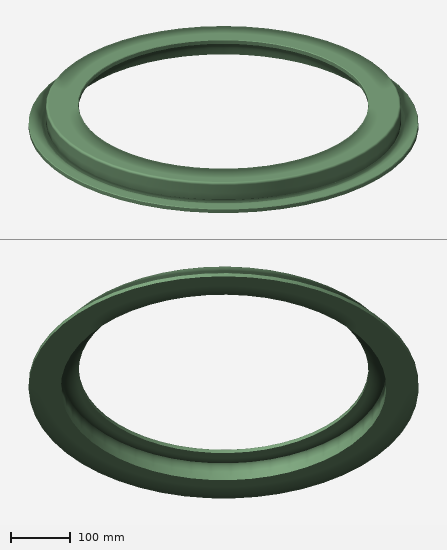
import cadquery as cq

flange_radius = 327.0
flange_thickness = 7.5
flange_edge_chamfer = 1.0
base_inner_radius = 273.0

recess_depth = 1.0
recess_floor_radius = 300.8
recess_rim_radius = 305.2

cap_top = 42.0
cap_thickness = 7.5
cap_outer_radius = 298.0
cap_edge_fillet = 4.0
lip_inner_radius = 243.0
lip_edge_chamfer = 1.0
skirt_bottom = 10.5

lip_underside = cap_top - cap_thickness
skirt_inner_radius = cap_outer_radius - cap_thickness


def revolve_about_z(profile):
    return profile.close().revolve(360, (0, 0, 0), (0, 1, 0))


def make_base():
    recess_floor = flange_thickness - recess_depth
    profile = (
        cq.Workplane("XZ")
        .moveTo(base_inner_radius, 0)
        .lineTo(flange_radius, 0)
        .lineTo(flange_radius, flange_thickness - flange_edge_chamfer)
        .lineTo(flange_radius - flange_edge_chamfer, flange_thickness)
        .lineTo(recess_rim_radius, flange_thickness)
        .lineTo(recess_floor_radius, recess_floor)
        .lineTo(skirt_inner_radius, recess_floor)
        .lineTo(skirt_inner_radius, lip_underside)
        .lineTo(base_inner_radius, lip_underside)
    )
    return revolve_about_z(profile)


def make_cap():
    profile = (
        cq.Workplane("XZ")
        .moveTo(skirt_inner_radius, skirt_bottom)
        .lineTo(cap_outer_radius, skirt_bottom)
        .lineTo(cap_outer_radius, cap_top - cap_edge_fillet)
        .radiusArc((cap_outer_radius - cap_edge_fillet, cap_top), -cap_edge_fillet)
        .lineTo(lip_inner_radius + lip_edge_chamfer, cap_top)
        .lineTo(lip_inner_radius, cap_top - lip_edge_chamfer)
        .lineTo(lip_inner_radius, lip_underside)
        .lineTo(skirt_inner_radius, lip_underside)
    )
    return revolve_about_z(profile)


base = make_base()
cap = make_cap()
result = cq.Compound.makeCompound([base.val(), cap.val()])